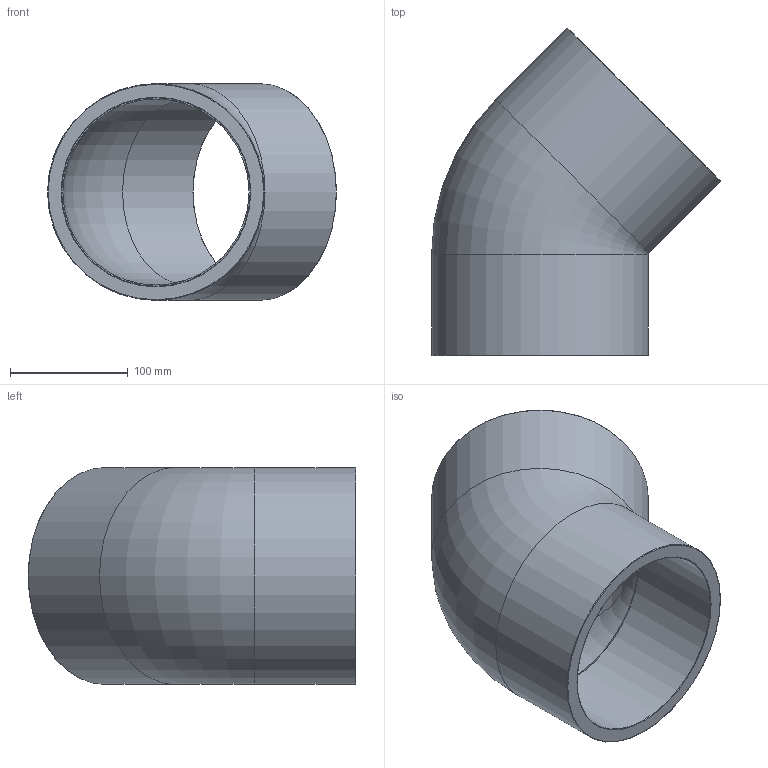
import cadquery as cq
import math

OUTER_DIAMETER = 184.0
SOCKET_DIAMETER = 160.0
BEND_BORE_DIAMETER = 158.0
SOCKET_DEPTH = 86.0
CENTRE_TO_FACE = 124.965
BEND_ANGLE = 45.0
RIM_RADIUS = 0.5

TANGENT_LENGTH = CENTRE_TO_FACE - SOCKET_DEPTH
BEND_RADIUS = TANGENT_LENGTH / math.tan(math.radians(BEND_ANGLE / 2))

START_FACE = cq.Plane(origin=(0, 0, 0), xDir=(1, 0, 0), normal=(0, 1, 0))
BEND_START = cq.Plane(origin=(0, SOCKET_DEPTH, 0), xDir=(1, 0, 0), normal=(0, 1, 0))


def bend_end_plane():
    """Plane across the end of the bend, facing along the second leg."""
    angle = math.radians(BEND_ANGLE)
    end_x = BEND_RADIUS * (1 - math.cos(angle))
    end_y = SOCKET_DEPTH + BEND_RADIUS * math.sin(angle)
    return cq.Plane(
        origin=(end_x, end_y, 0),
        xDir=(math.cos(angle), -math.sin(angle), 0),
        normal=(math.sin(angle), math.cos(angle), 0),
    )


def straight_leg(plane, diameter):
    """Solid cylinder one socket depth long, standing on the plane."""
    return cq.Workplane(plane).circle(diameter / 2).extrude(SOCKET_DEPTH)


def bend(diameter):
    """Solid torus segment joining the inner ends of the two legs."""
    axis_start = (BEND_RADIUS, 0, 0)
    axis_end = (BEND_RADIUS, 1, 0)
    return (
        cq.Workplane(BEND_START)
        .circle(diameter / 2)
        .revolve(BEND_ANGLE, axis_start, axis_end)
    )


def elbow_solid(leg_diameter, bend_diameter):
    """Two legs and the bend between them, fused into one solid."""
    first_leg = straight_leg(START_FACE, leg_diameter)
    second_leg = straight_leg(bend_end_plane(), leg_diameter)
    return first_leg.union(bend(bend_diameter)).union(second_leg)


outer_body = elbow_solid(OUTER_DIAMETER, OUTER_DIAMETER)
bore = elbow_solid(SOCKET_DIAMETER, BEND_BORE_DIAMETER)

elbow = outer_body.cut(bore)


def round_rim_edges(body):
    """Round both circular edges of each open end face."""
    first_rim = body.faces("<Y").edges()
    end_direction = bend_end_plane().zDir
    second_rim = body.faces(cq.selectors.DirectionMinMaxSelector(end_direction, True)).edges()
    return body.newObject(first_rim.vals() + second_rim.vals()).fillet(RIM_RADIUS)


result = round_rim_edges(elbow)